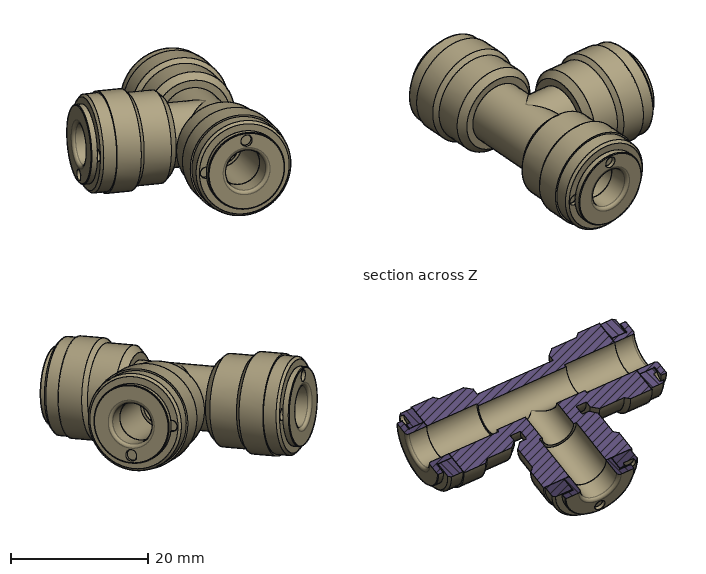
import cadquery as cq


PORT_REACH = 19.4
CAP_FACE = 1.1
BODY_FACE = 3.45

PIPE_DIA = 9.5
HEAD_DIA = 15.0
BARREL_DIA = 13.7
SHOULDER_START = 7.15
HEAD_END = 13.0
HEAD_CHAMFER = 1.05
HEAD_CHAMFER_DEPTH = 0.97
TUBE_SOCKET_DIA = 6.2
FLOW_BORE_DIA = 5.3

CAP_DIA = 14.5
CAP_CHAMFER = 0.4

FLANGE_DIA = 11.7
FLANGE_THICKNESS = 0.97
FLANGE_EDGE_CHAMFER = 0.1
SLEEVE_DIA = 7.9
COLLET_BORE_DIA = 6.15
MOUTH_RADIUS = 0.5

DOT_DIA = 1.7
DOT_DEPTH = 0.62
COLLET_DOT_OFFSET = 4.65
CAP_DOT_OFFSET = FLANGE_DIA / 2

PORT_TURNS = [(0, 0), (180, 90), (0, 180)]


def port_x(station):
    """X of a station on the -X port."""
    return station - PORT_REACH


def port_cylinder(diameter, start, end):
    """Cylinder on the axis of the -X port between two stations."""
    return cq.Workplane("YZ", origin=(port_x(start), 0, 0)).circle(diameter / 2).extrude(end - start)


def dot_cutter(face_station, y, z):
    """Cutter for a round recess in an end face of the -X port."""
    centre = (port_x(face_station), y, z)
    return cq.Workplane("YZ", origin=centre).circle(DOT_DIA / 2).extrude(DOT_DEPTH)


def place_at_port(part, turns):
    """Carry a part from the -X port to another port."""
    own_axis_turn, turn_about_z = turns
    part = part.rotate((0, 0, 0), (1, 0, 0), own_axis_turn)
    return part.rotate((0, 0, 0), (0, 0, 1), turn_about_z)


def make_branch():
    """Solid head of the -X port with its pipe to the tee centre."""
    shoulder_end = SHOULDER_START + (HEAD_DIA - BARREL_DIA) / 2
    return (
        cq.Workplane("XY")
        .moveTo(port_x(BODY_FACE), 0)
        .lineTo(port_x(BODY_FACE), HEAD_DIA / 2)
        .lineTo(port_x(SHOULDER_START), HEAD_DIA / 2)
        .lineTo(port_x(shoulder_end), BARREL_DIA / 2)
        .lineTo(port_x(HEAD_END - HEAD_CHAMFER), BARREL_DIA / 2)
        .lineTo(port_x(HEAD_END), BARREL_DIA / 2 - HEAD_CHAMFER_DEPTH)
        .lineTo(port_x(HEAD_END), PIPE_DIA / 2)
        .lineTo(0, PIPE_DIA / 2)
        .lineTo(0, 0)
        .close()
        .revolve(360, (0, 0, 0), (1, 0, 0))
    )


def make_body():
    """Tee body: three branches joined at the centre, each bored and given a tube socket."""
    flow_bore = port_cylinder(FLOW_BORE_DIA, BODY_FACE, PORT_REACH)
    tube_socket = port_cylinder(TUBE_SOCKET_DIA, BODY_FACE, HEAD_END - HEAD_CHAMFER)
    port_cavity = flow_bore.union(tube_socket)

    body = cq.Workplane("XY")
    for turns in PORT_TURNS:
        body = body.union(place_at_port(make_branch(), turns))
    for turns in PORT_TURNS:
        body = body.cut(place_at_port(port_cavity, turns))
    return body


def make_cap():
    """Cap ring of the -X port."""
    ring = port_cylinder(CAP_DIA, CAP_FACE, BODY_FACE).faces("<X").chamfer(CAP_CHAMFER)
    ring = ring.cut(port_cylinder(SLEEVE_DIA, CAP_FACE, BODY_FACE))
    return ring.cut(dot_cutter(CAP_FACE, CAP_DOT_OFFSET, 0))


def make_collet():
    """Release collet of the -X port: a flange outside the cap and a sleeve through it."""
    flange = port_cylinder(FLANGE_DIA, 0, FLANGE_THICKNESS).faces("<X").chamfer(FLANGE_EDGE_CHAMFER)
    collet = flange.union(port_cylinder(SLEEVE_DIA, 0, BODY_FACE))
    collet = collet.cut(port_cylinder(COLLET_BORE_DIA, 0, BODY_FACE))
    collet = collet.faces("<X").edges(cq.selectors.RadiusNthSelector(0)).fillet(MOUTH_RADIUS)
    return collet.cut(dot_cutter(0, 0, COLLET_DOT_OFFSET))


body = make_body()
caps = [place_at_port(make_cap(), turns) for turns in PORT_TURNS]
collets = [place_at_port(make_collet(), turns) for turns in PORT_TURNS]

result = cq.Compound.makeCompound([body.val(), *[c.val() for c in caps], *[c.val() for c in collets]])